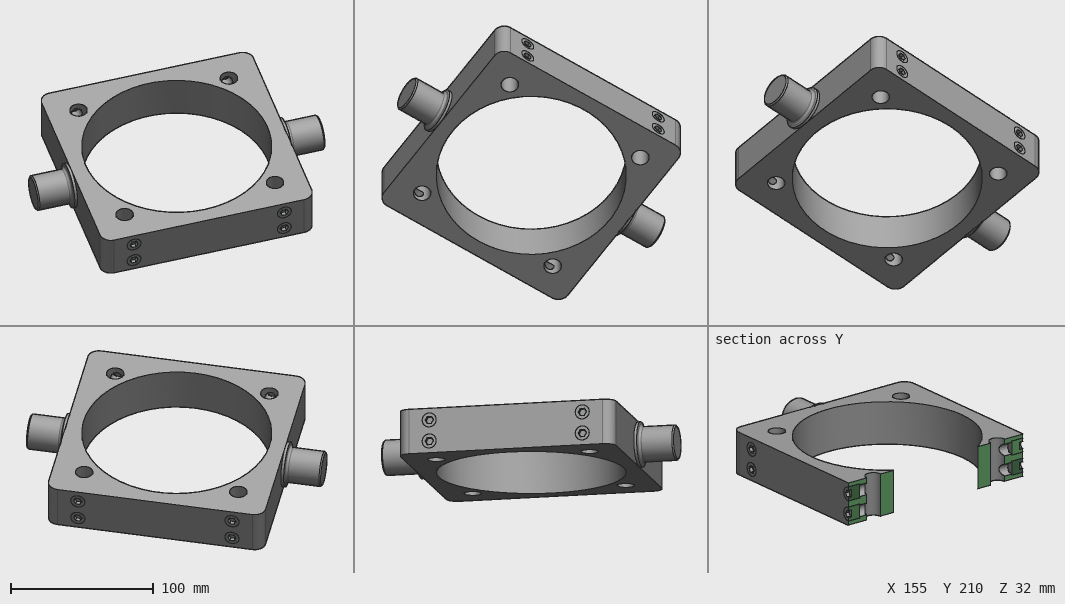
import cadquery as cq
import math

frame_side = 155.0
frame_height = 32.0
corner_radius = 8.0
bore_diameter = 133.0
bolt_hole_diameter = 12.2
bolt_offset = 55.0

trunnion_tip = 105.0
pin_radius = 25.0 / 2
pin_chamfer = 1.0
collar_radius = frame_height / 2
collar_height = 2.5
collar_chamfer_width = 1.5
collar_chamfer_height = 0.5

screw_diameter = 10.0
screw_length = 10.0
screw_spacing = 15.1
socket_width = 5.0
socket_depth = 3.0
tap_hole_diameter = 8.5

half_side = frame_side / 2
seat_distance = half_side - screw_length


def make_trunnion():
    """Stepped pin along +Y, rooted in the face of the frame."""
    shoulder_radius = collar_radius - collar_chamfer_width
    fillet_radius = shoulder_radius - pin_radius
    collar_top = half_side + collar_height
    arc_inset = fillet_radius * (1 - math.sin(math.pi / 4))
    profile = (
        cq.Workplane("XY")
        .moveTo(0, half_side)
        .lineTo(collar_radius, half_side)
        .lineTo(collar_radius, collar_top - collar_chamfer_height)
        .lineTo(shoulder_radius, collar_top)
        .threePointArc(
            (pin_radius + arc_inset, collar_top + arc_inset),
            (pin_radius, collar_top + fillet_radius),
        )
        .lineTo(pin_radius, trunnion_tip - pin_chamfer)
        .lineTo(pin_radius - pin_chamfer, trunnion_tip)
        .lineTo(0, trunnion_tip)
        .close()
    )
    return profile.revolve(360, (0, 0, 0), (0, 1, 0))


def rod_along_x(diameter, start_x, end_x, y, z):
    """Round rod parallel to X between two X positions."""
    return (
        cq.Workplane("YZ", origin=(start_x, y, z))
        .circle(diameter / 2)
        .extrude(end_x - start_x)
    )


def make_frame(screw_places):
    """Square frame with its trunnions, corner holes and screw holes."""
    frame = (
        cq.Workplane("XY")
        .box(frame_side, frame_side, frame_height)
        .edges("|Z")
        .fillet(corner_radius)
    )
    trunnion = make_trunnion()
    frame = frame.union(trunnion).union(trunnion.mirror("XZ"))

    bottom = cq.Workplane("XY", origin=(0, 0, -frame_height / 2))
    bore = bottom.circle(bore_diameter / 2).extrude(frame_height)
    bolt_holes = (
        bottom
        .rect(2 * bolt_offset, 2 * bolt_offset, forConstruction=True)
        .vertices()
        .circle(bolt_hole_diameter / 2)
        .extrude(frame_height)
    )
    frame = frame.cut(bore).cut(bolt_holes)

    for side, y, z in screw_places:
        outer_x = side * half_side
        seat_x = side * seat_distance
        screw_seat = rod_along_x(screw_diameter, outer_x, seat_x, y, z)
        tap_hole = rod_along_x(tap_hole_diameter, outer_x, side * bolt_offset, y, z)
        frame = frame.cut(screw_seat).cut(tap_hole)
    return frame


def make_set_screw(side, y, z):
    """Set screw, flush with the frame side, with a hexagon socket."""
    outer_x = side * half_side
    seat_x = side * seat_distance
    across_corners = socket_width / math.cos(math.pi / 6)
    socket = (
        cq.Workplane("YZ", origin=(outer_x, y, z))
        .polygon(6, across_corners)
        .extrude(-side * socket_depth)
    )
    return rod_along_x(screw_diameter, outer_x, seat_x, y, z).cut(socket)


screw_places = [
    (side, y, z)
    for side in (-1, 1)
    for y in (-bolt_offset, bolt_offset)
    for z in (-screw_spacing / 2, screw_spacing / 2)
]

frame = make_frame(screw_places)
set_screws = [make_set_screw(*place) for place in screw_places]

result = cq.Compound.makeCompound(
    [frame.val()] + [screw.val() for screw in set_screws]
)